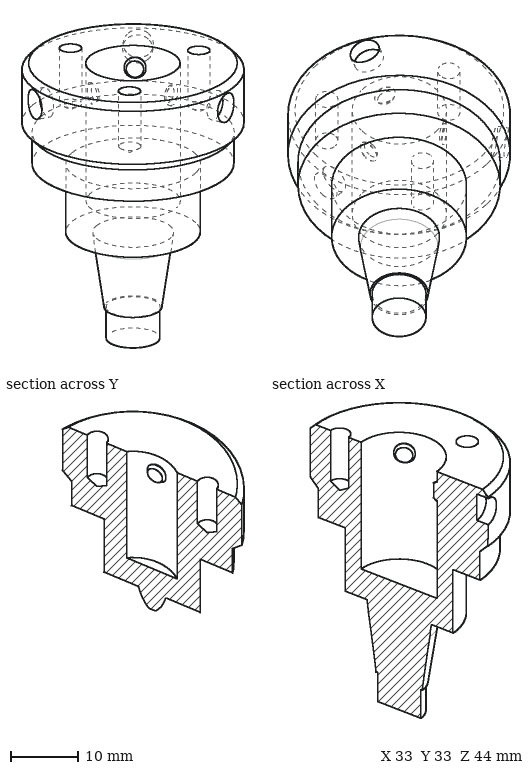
import cadquery as cq
import math

tip_top = 5.0
taper_split = 15.0
shank_bottom = 17.0
collar_bottom = 28.0
collar_top = 33.0
head_bottom = 34.5
total_height = 44.0

tip_diameter = 8.0
taper_small_diameter = 8.62
taper_split_diameter = 11.55
taper_large_diameter = 12.0
shank_diameter = 20.0
collar_diameter = 30.0
head_diameter = 33.0
top_chamfer = 1.0

bore_diameter = 14.0
bore_depth = 22.0

drill_diameter = 3.3
drill_depth = 8.8
drill_point_angle = 118.0
drill_circle_radius = 11.0
drill_angles = (90, 210, 330)

screw_diameter = 4.5
screw_point_diameter = 3.3
screw_tip_diameter = 2.6
screw_tip_length = 0.55
screw_drop = 3.5
screw_head_radius = 14.45
screw_tip_radius = 6.35
screw_angles = (30, 150, 270)


def turned_body():
    """Revolve the outer contour about Z."""
    contour = [
        (0, 0),
        (tip_diameter / 2, 0),
        (tip_diameter / 2, tip_top),
        (taper_small_diameter / 2, tip_top),
        (taper_split_diameter / 2, taper_split),
        (taper_large_diameter / 2, shank_bottom),
        (shank_diameter / 2, shank_bottom),
        (shank_diameter / 2, collar_bottom),
        (collar_diameter / 2, collar_bottom),
        (collar_diameter / 2, collar_top),
        (head_diameter / 2, head_bottom),
        (head_diameter / 2, total_height - top_chamfer),
        (head_diameter / 2 - top_chamfer, total_height),
        (0, total_height),
    ]
    return cq.Workplane("XZ").polyline(contour).close().revolve(360, (0, 0), (0, 1))


def bore():
    """Flat-bottomed cylinder removed from the top face."""
    floor = total_height - bore_depth
    return cq.Workplane("XY").workplane(offset=floor).circle(bore_diameter / 2).extrude(bore_depth)


def drilled_hole(angle):
    """Blind hole with a conical drill point, parallel to Z."""
    radius = drill_diameter / 2
    shoulder = total_height - drill_depth
    point = shoulder - radius / math.tan(math.radians(drill_point_angle / 2))
    contour = [(0, point), (radius, shoulder), (radius, total_height), (0, total_height)]
    drill = cq.Workplane("XZ").polyline(contour).close().revolve(360, (0, 0), (0, 1))
    return drill.translate((drill_circle_radius, 0, 0)).rotate((0, 0, 0), (0, 0, 1), angle)


def radial_turning(contour, angle):
    """Revolve a (distance, radius) contour about a radial axis at screw height."""
    turning = cq.Workplane("XZ").polyline(contour).close().revolve(360, (0, 0), (1, 0))
    turning = turning.translate((0, 0, total_height - screw_drop))
    return turning.rotate((0, 0, 0), (0, 0, 1), angle)


def screw_recess(angle):
    """Pocket between the outer rim and the end of a set screw."""
    radius = screw_diameter / 2
    outside = head_diameter / 2 + top_chamfer
    contour = [(screw_head_radius, 0), (outside, 0), (outside, radius), (screw_head_radius, radius)]
    return radial_turning(contour, angle)


def set_screw(angle):
    """Cylindrical screw point, joined to the head, that ends in a short truncated cone."""
    point = screw_point_diameter / 2
    tip = screw_tip_diameter / 2
    cone_end = screw_tip_radius + screw_tip_length
    contour = [
        (screw_tip_radius, 0),
        (screw_tip_radius, tip),
        (cone_end, point),
        (screw_head_radius, point),
        (screw_head_radius, 0),
    ]
    return radial_turning(contour, angle)


result = turned_body().cut(bore())
for hole_angle in drill_angles:
    result = result.cut(drilled_hole(hole_angle))
for screw_angle in screw_angles:
    result = result.cut(screw_recess(screw_angle))
    result = result.union(set_screw(screw_angle))